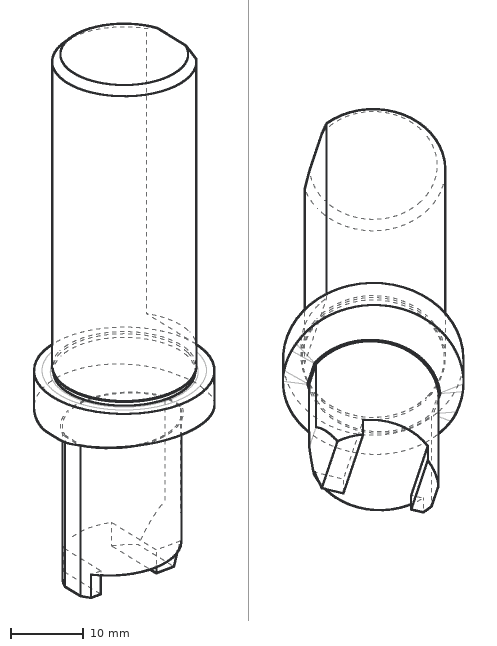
import cadquery as cq

total_height = 82.0
slot_height = 3.7
lower_shank_top = 23.95
collar_top = 32.1

collar_radius = 12.505
shaft_radius = 10.0
shaft_chamfer = 1.15
shaft_flat_y = 8.3
shaft_flat_bottom = 35.8

relief_depth = 0.2
relief_top = 32.7
relief_shoulder = 32.5
relief_floor = 31.9
relief_floor_radius = 10.25
relief_outer_radius = 11.4

shank_half_depth = 8.815
shank_left = -8.0
shank_right = 6.65
flat_left = -2.05
flat_right = 1.4
collar_slope = 30.0
collar_foot_margin = 0.25

slot_y_min = -6.2
slot_y_max = 3.5
tooth_right = 2.7
back_slope_top = 7.6
back_slope_tip_y = 6.65

cutter_size = 2 * collar_radius


def block(x_min, x_max, y_min, y_max, z_min, z_max):
    """Axis-aligned block between the given limits."""
    return cq.Workplane("XY").box(
        x_max - x_min, y_max - y_min, z_max - z_min, centered=False
    ).translate((x_min, y_min, z_min))


def shank_outline(z):
    """Closed section of the lower shank at height z."""
    return (
        cq.Workplane("XY", origin=(0, 0, z))
        .moveTo(flat_left, -shank_half_depth)
        .lineTo(flat_right, -shank_half_depth)
        .threePointArc((shank_right, 0), (flat_right, shank_half_depth))
        .lineTo(flat_left, shank_half_depth)
        .threePointArc((shank_left, 0), (flat_left, -shank_half_depth))
        .close()
    )


def make_shaft():
    shaft = (
        cq.Workplane("XY", origin=(0, 0, relief_floor))
        .circle(shaft_radius)
        .extrude(total_height - relief_floor)
        .faces(">Z")
        .chamfer(shaft_chamfer)
    )
    flat = block(-cutter_size, cutter_size, shaft_flat_y, cutter_size,
                 shaft_flat_bottom, total_height)
    return shaft.cut(flat)


def make_collar():
    """Round collar whose underside slopes down to the lower shank outline."""
    height = collar_top - lower_shank_top
    disc = cq.Workplane("XY", origin=(0, 0, lower_shank_top)).circle(collar_radius).extrude(height)
    flare = (
        shank_outline(lower_shank_top)
        .offset2D(collar_foot_margin)
        .extrude(height, taper=collar_slope - 90)
    )
    return disc.intersect(flare)


def make_relief():
    """Shallow ring undercutting the shaft root and the collar face."""
    root_radius = shaft_radius - relief_depth
    return (
        cq.Workplane("XZ")
        .polyline([
            (shaft_radius, relief_top),
            (root_radius, relief_shoulder),
            (root_radius, relief_floor),
            (relief_floor_radius, relief_floor),
            (relief_outer_radius, collar_top),
            (shaft_radius, collar_top),
        ])
        .close()
        .revolve(360, (0, 0, 0), (0, 1, 0))
    )


def make_lower_shank():
    shank = shank_outline(0).extrude(lower_shank_top)
    slot = block(-cutter_size, cutter_size, slot_y_min, slot_y_max, 0, slot_height)
    side_step = block(tooth_right, cutter_size, -cutter_size, cutter_size, 0, slot_height)
    sloping_back = (
        cq.Workplane("YZ")
        .polyline([
            (back_slope_tip_y, 0),
            (shank_half_depth, back_slope_top),
            (shank_half_depth, 0),
        ])
        .close()
        .extrude(cutter_size, both=True)
    )
    return shank.cut(slot).cut(side_step).cut(sloping_back)


result = make_lower_shank().union(make_collar()).union(make_shaft()).cut(make_relief())